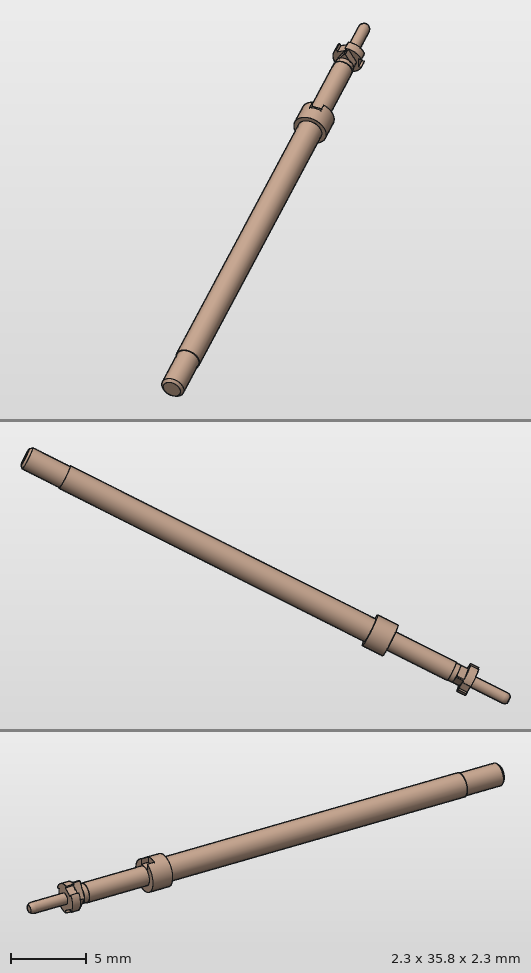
import cadquery as cq
import math

plug_end_radius = 0.6
plug_radius = 0.8
barrel_radius = 0.84
collar_radius = 1.15
shank_radius = 0.68
neck_radius = 0.65
head_radius = 1.05
pin_radius = 0.4
pin_end_radius = 0.25

total_length = 35.8
plug_chamfer_length = 0.18
plug_length = 2.95
collar_length = 1.5
shank_length = 4.55
neck_length = 0.35
wedge_length = 0.55
flange_length = 0.6
pin_length = 2.72
pin_round_length = 0.32

notch_count = 3
notch_width = 0.7
notch_floor_radius = 0.8
wedge_half_width = neck_radius
wedge_half_angle = 30.0

collar_notch_width = 0.8
collar_notch_length = 0.55

plug_end_y = -total_length / 2
plug_top_y = plug_end_y + plug_length
pin_end_y = total_length / 2
flange_top_y = pin_end_y - pin_length
flange_base_y = flange_top_y - flange_length
wedge_base_y = flange_base_y - wedge_length
shank_top_y = wedge_base_y - neck_length
collar_top_y = shank_top_y - shank_length
collar_base_y = collar_top_y - collar_length


def cross_section(base_y):
    """Sketch plane at base_y with local x along X and local y along Z; extrude negative to go +Y."""
    return cq.Workplane("XZ", origin=(0, base_y, 0))


def cylinder(radius, base_y, top_y):
    return cross_section(base_y).circle(radius).extrude(base_y - top_y)


def make_plug():
    """Closed end of the barrel with a chamfered rim."""
    chamfer_top_y = plug_end_y + plug_chamfer_length
    profile = cq.Workplane("XY").polyline([
        (0, plug_end_y),
        (plug_end_radius, plug_end_y),
        (plug_radius, chamfer_top_y),
        (plug_radius, plug_top_y),
        (0, plug_top_y),
    ]).close()
    return profile.revolve(360, (0, 0, 0), (0, 1, 0))


def make_pin():
    """Thin pin whose tip is rounded by an arc tangent to its side."""
    round_start_y = pin_end_y - pin_round_length
    inset = pin_radius - pin_end_radius
    arc_radius = (inset**2 + pin_round_length**2) / (2 * inset)
    half_sweep = math.asin(pin_round_length / arc_radius) / 2
    arc_middle = (
        pin_radius - arc_radius * (1 - math.cos(half_sweep)),
        round_start_y + arc_radius * math.sin(half_sweep),
    )
    profile = (
        cq.Workplane("XY")
        .moveTo(0, flange_top_y)
        .lineTo(pin_radius, flange_top_y)
        .lineTo(pin_radius, round_start_y)
        .threePointArc(arc_middle, (pin_end_radius, pin_end_y))
        .lineTo(0, pin_end_y)
        .close()
    )
    return profile.revolve(360, (0, 0, 0), (0, 1, 0))


def make_collar():
    """Stop collar with a notch at +Z reaching down to the shank surface."""
    collar = cylinder(collar_radius, collar_base_y, collar_top_y)
    notch = (
        cq.Workplane("XY", origin=(0, collar_top_y - collar_notch_length / 2, shank_radius))
        .rect(collar_notch_width, collar_notch_length)
        .extrude(collar_radius)
    )
    return collar.cut(notch)


def make_head():
    """Round flange on a rhombic wedge, with equally spaced notches around the rim."""
    flange = cylinder(head_radius, flange_base_y, flange_top_y)
    wedge_half_height = wedge_half_width / math.tan(math.radians(wedge_half_angle))
    rhombus = (
        cross_section(wedge_base_y)
        .polyline([
            (wedge_half_width, 0),
            (0, wedge_half_height),
            (-wedge_half_width, 0),
            (0, -wedge_half_height),
        ])
        .close()
        .extrude(-wedge_length)
    )
    wedge = rhombus.intersect(cylinder(head_radius, wedge_base_y, flange_base_y))
    notch = (
        cross_section(flange_base_y)
        .center(notch_floor_radius + head_radius / 2, 0)
        .rect(head_radius, notch_width)
        .extrude(-flange_length)
    )
    for index in range(notch_count):
        angle = index * 360 / notch_count
        flange = flange.cut(notch.rotate((0, 0, 0), (0, 1, 0), angle))
    return flange.union(wedge)


result = (
    make_plug()
    .union(cylinder(barrel_radius, plug_top_y, collar_base_y))
    .union(make_collar())
    .union(cylinder(shank_radius, collar_top_y, shank_top_y))
    .union(cylinder(neck_radius, shank_top_y, wedge_base_y))
    .union(make_head())
    .union(make_pin())
)